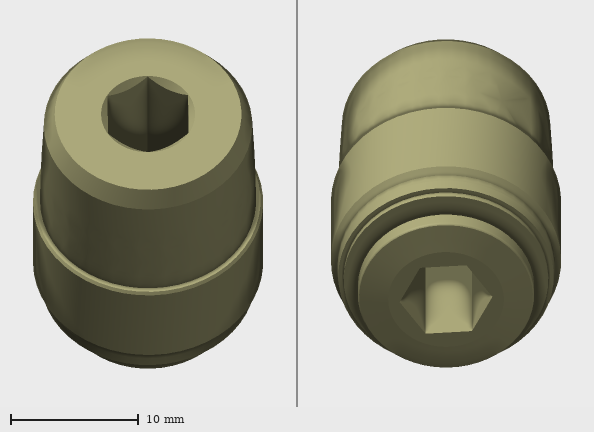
import cadquery as cq
import math

HEIGHT = 25.0
FOOT_RIM_BOTTOM = 0.42
FOOT_TOP = 1.72
NECK_TOP = 2.65
LIP_TOP = 3.15
TAPERED_BAND_TOP = 4.08
BAND_TOP = 4.8
COLLAR_TOP = 13.45
SHOULDER_BEVEL_BOTTOM = 23.55

FOOT_FACE_RADIUS = 4.52
FOOT_RADIUS = 13.8 / 2
NECK_RADIUS = 9.35 / 2
LIP_RADIUS = 16.0 / 2
BAND_RADIUS = 17.0 / 2
BAND_LOWER_RADIUS = 8.42
COLLAR_RADIUS = 18.0 / 2
SLEEVE_BASE_RADIUS = 8.45
SLEEVE_TOP_RADIUS = 8.15
TOP_FACE_RADIUS = 7.3

FOOT_EDGE_ROUND = 0.22
NECK_FILLET = 0.35
COLLAR_BOTTOM_BEVEL = COLLAR_RADIUS - BAND_RADIUS
COLLAR_TOP_BEVEL = 0.2
SLEEVE_BULGE = 0.05

HEX_ACROSS_FLATS = 6.3
SOCKET_MOUTH_RADIUS = 3.68


def turned_body():
    """Revolve the outer profile, drawn as (radius, height), about Z."""
    sleeve_middle = (
        (SLEEVE_BASE_RADIUS + SLEEVE_TOP_RADIUS) / 2 + SLEEVE_BULGE,
        (COLLAR_TOP + SHOULDER_BEVEL_BOTTOM) / 2,
    )
    neck_arc_offset = NECK_FILLET * (1 - math.sqrt(0.5))
    foot_edge_start = FOOT_RADIUS - FOOT_EDGE_ROUND / 2
    foot_arc_middle = (FOOT_RADIUS - FOOT_EDGE_ROUND / 8, FOOT_RIM_BOTTOM + FOOT_EDGE_ROUND / 2)
    profile = (
        cq.Workplane("XZ")
        .lineTo(FOOT_FACE_RADIUS, 0)
        .lineTo(foot_edge_start, FOOT_RIM_BOTTOM)
        .threePointArc(foot_arc_middle, (FOOT_RADIUS, FOOT_RIM_BOTTOM + FOOT_EDGE_ROUND))
        .lineTo(FOOT_RADIUS, FOOT_TOP)
        .lineTo(NECK_RADIUS + NECK_FILLET, FOOT_TOP)
        .threePointArc(
            (NECK_RADIUS + neck_arc_offset, FOOT_TOP + neck_arc_offset),
            (NECK_RADIUS, FOOT_TOP + NECK_FILLET),
        )
        .lineTo(NECK_RADIUS, NECK_TOP)
        .lineTo(LIP_RADIUS, NECK_TOP)
        .lineTo(LIP_RADIUS, LIP_TOP)
        .lineTo(BAND_LOWER_RADIUS, LIP_TOP)
        .lineTo(BAND_RADIUS, TAPERED_BAND_TOP)
        .lineTo(BAND_RADIUS, BAND_TOP)
        .lineTo(COLLAR_RADIUS, BAND_TOP + COLLAR_BOTTOM_BEVEL)
        .lineTo(COLLAR_RADIUS, COLLAR_TOP - COLLAR_TOP_BEVEL)
        .lineTo(COLLAR_RADIUS - COLLAR_TOP_BEVEL, COLLAR_TOP)
        .lineTo(SLEEVE_BASE_RADIUS, COLLAR_TOP)
        .threePointArc(sleeve_middle, (SLEEVE_TOP_RADIUS, SHOULDER_BEVEL_BOTTOM))
        .lineTo(TOP_FACE_RADIUS, HEIGHT)
        .lineTo(0, HEIGHT)
        .close()
    )
    return profile.revolve(360, (0, 0, 0), (0, 1, 0))


def hex_socket():
    """Through hexagon with two flats facing +X and -X."""
    across_corners = HEX_ACROSS_FLATS / math.cos(math.pi / 6)
    socket = cq.Workplane("XY").polygon(6, across_corners).extrude(HEIGHT)
    return socket.rotate((0, 0, 0), (0, 0, 1), 30)


def socket_countersink():
    """45 degree cone that opens the socket at the top face."""
    cone = cq.Solid.makeCone(0, SOCKET_MOUTH_RADIUS, SOCKET_MOUTH_RADIUS)
    return cq.Workplane(cone).translate((0, 0, HEIGHT - SOCKET_MOUTH_RADIUS))


result = turned_body().cut(hex_socket()).cut(socket_countersink())